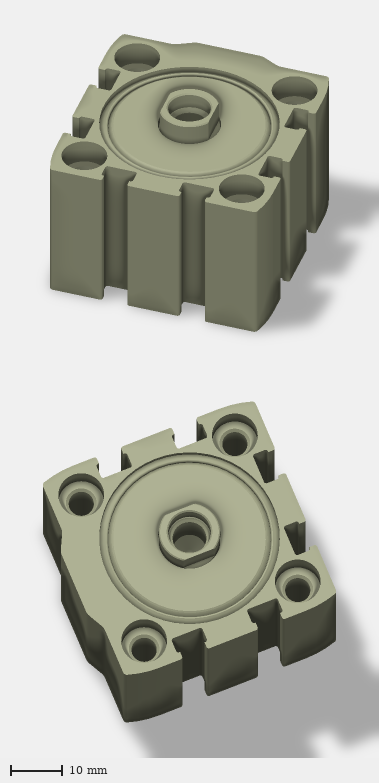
import cadquery as cq
import math

body_height = 30.0
overall_width = 45.0
overall_length = 47.0
half_width = overall_width / 2
half_length = 22.5
side_flat_half = 15.5
side_arc_radius = 20.7
corner_radius = 0.8

pad_rise = overall_length - 2 * half_length
pad_top_half = 6.85
pad_foot_half = 10.75
pad_blend_radius = 2.55

slot_offset = 8.0
slot_depth = 4.6
slot_mouth_width = 5.15
slot_inner_width = 6.5
lip_thickness = 1.5
slot_edge_radius = 0.45

screw_offset = 16.25
screw_head_diameter = 9.0
screw_head_depth = 5.0
screw_hole_diameter = 4.95
screw_countersink_diameter = 6.0

groove_outer_radius = 35.4 / 2
groove_outer_depth = 1.2
ridge_radius = 16.4
ridge_depth = 0.45
bore_radius = 32.0 / 2
gap_depth = 1.4
cap_cone_radius = 15.95
cap_cone_depth = 1.05
cap_edge_radius = 15.28
cap_edge_depth = 0.45
cap_radius = 14.95
cap_depth = 0.3

rod_diameter = 12.0
rod_projection = 4.0
rod_chamfer = 0.25
rod_bottom = 6.0
flats_width = 10.0
flats_below_cap = 0.3
flats_run_out_angle = math.radians(30)
rod_gap_diameter = 12.4
rod_gap_depth = 2.0

bore_mouth_diameter = 9.0
bore_relief_diameter = 8.4
bore_relief_depth = 3.35
thread_mouth_diameter = 8.0
thread_diameter = 6.65
thread_depth = 12.0
drill_half_angle = math.radians(59)

rod_top = body_height + rod_projection
rod_radius = rod_diameter / 2
cap_top = body_height - cap_depth
flats_bottom = cap_top - flats_below_cap


def housing_block():
    """Block with bowed sides, rounded corners and the raised pad."""
    mid_y = (half_length + side_flat_half) / 2
    mid_x = bowed_side_x(mid_y)
    corner_x = bowed_side_x(half_length)
    pad_y = half_length + pad_rise
    block = (
        cq.Workplane("XY")
        .moveTo(-corner_x, -half_length)
        .lineTo(corner_x, -half_length)
        .threePointArc((mid_x, -mid_y), (half_width, -side_flat_half))
        .lineTo(half_width, side_flat_half)
        .threePointArc((mid_x, mid_y), (corner_x, half_length))
        .lineTo(pad_foot_half, half_length)
        .lineTo(pad_top_half, pad_y)
        .lineTo(-pad_top_half, pad_y)
        .lineTo(-pad_foot_half, half_length)
        .lineTo(-corner_x, half_length)
        .threePointArc((-mid_x, mid_y), (-half_width, side_flat_half))
        .lineTo(-half_width, -side_flat_half)
        .threePointArc((-mid_x, -mid_y), (-corner_x, -half_length))
        .close()
        .extrude(body_height)
    )
    corners = [(x, y) for x in (-corner_x, corner_x) for y in (-half_length, half_length)]
    block = round_upright_edges(block, corners, corner_radius)
    pad_bends = []
    for side in (-1, 1):
        pad_bends += [(side * pad_foot_half, half_length), (side * pad_top_half, pad_y)]
    return round_upright_edges(block, pad_bends, pad_blend_radius)


def bowed_side_x(y):
    """X of the +X side where it bows inwards, at distance y from the middle."""
    arc_centre_x = half_width - side_arc_radius
    return arc_centre_x + math.sqrt(side_arc_radius**2 - (y - side_flat_half) ** 2)


def round_upright_edges(solid, places, radius):
    """Fillet the upright edges that stand at the given XY places."""
    edges = cq.Workplane("XY")
    for x, y in places:
        edges = edges.add(solid.edges(cq.NearestToPointSelector((x, y, body_height / 2))))
    return solid.newObject(edges.vals()).fillet(radius)


def slot_cutter():
    """Undercut slot along Z whose mouth lies on y = 0 and which deepens towards +Y."""
    pocket_depth = slot_depth - lip_thickness
    mouth = cq.Workplane("XY").box(slot_mouth_width, slot_depth, body_height, centered=(True, False, False))
    pocket = cq.Workplane("XY").box(slot_inner_width, pocket_depth, body_height, centered=(True, False, False))
    pocket = pocket.edges("|Z").fillet(slot_edge_radius)
    return mouth.union(pocket.translate((0, lip_thickness, 0)))


def cut_slots(body):
    """Cut a pair of slots into the -X, -Y and +X sides and round their mouths."""
    lip_edges = []
    for offset in (-slot_offset, slot_offset):
        slot = slot_cutter().translate((offset, 0, 0))
        front_slot = slot.translate((0, -half_length, 0))
        side_slot = slot.translate((0, -half_width, 0))
        body = body.cut(front_slot)
        body = body.cut(side_slot.rotate((0, 0, 0), (0, 0, 1), -90))
        body = body.cut(side_slot.rotate((0, 0, 0), (0, 0, 1), 90))
        for edge in (offset - slot_mouth_width / 2, offset + slot_mouth_width / 2):
            lip_edges += [(edge, -half_length), (-half_width, edge), (half_width, edge)]
    return round_upright_edges(body, lip_edges, slot_edge_radius)


def screw_hole_cutter():
    """Revolved cutter for a counterbored and countersunk through hole."""
    head_floor = body_height - screw_head_depth
    countersink_depth = (screw_countersink_diameter - screw_hole_diameter) / 2
    return (
        cq.Workplane("XZ")
        .moveTo(0, 0)
        .lineTo(screw_hole_diameter / 2, 0)
        .lineTo(screw_hole_diameter / 2, head_floor - countersink_depth)
        .lineTo(screw_countersink_diameter / 2, head_floor)
        .lineTo(screw_head_diameter / 2, head_floor)
        .lineTo(screw_head_diameter / 2, body_height)
        .lineTo(0, body_height)
        .close()
        .revolve()
    )


def cap_recess_cutter():
    """Revolved cutter that leaves the end cap with its ridge and grooves."""
    ridge_round = ridge_radius - bore_radius
    arc_shift = ridge_round * (1 - math.sqrt(0.5))
    ridge_arc_middle = (bore_radius + arc_shift, body_height - ridge_depth - arc_shift)
    return (
        cq.Workplane("XZ")
        .moveTo(0, body_height)
        .lineTo(groove_outer_radius, body_height)
        .lineTo(groove_outer_radius, body_height - groove_outer_depth)
        .lineTo(ridge_radius, body_height - ridge_depth)
        .threePointArc(ridge_arc_middle, (bore_radius, body_height - ridge_depth - ridge_round))
        .lineTo(bore_radius, body_height - gap_depth)
        .lineTo(cap_cone_radius, body_height - gap_depth)
        .lineTo(cap_cone_radius, body_height - cap_cone_depth)
        .lineTo(cap_edge_radius, body_height - cap_edge_depth)
        .lineTo(cap_radius, cap_top)
        .lineTo(0, cap_top)
        .close()
        .revolve()
    )


def build_housing():
    body = cut_slots(housing_block())
    for x in (-screw_offset, screw_offset):
        for y in (-screw_offset, screw_offset):
            body = body.cut(screw_hole_cutter().translate((x, y, 0)))
    body = body.cut(cap_recess_cutter())
    rod_guide = cq.Workplane("XY").workplane(offset=rod_bottom).circle(rod_radius).extrude(body_height)
    gap_floor = cap_top - rod_gap_depth
    rod_gap = cq.Workplane("XY").workplane(offset=gap_floor).circle(rod_gap_diameter / 2).extrude(body_height)
    return body.cut(rod_guide).cut(rod_gap)


def rod_bore_cutter():
    """Revolved cutter for the threaded bore with its relief and drill point."""
    mouth_radius = bore_mouth_diameter / 2
    relief_radius = bore_relief_diameter / 2
    thread_mouth_radius = thread_mouth_diameter / 2
    thread_radius = thread_diameter / 2
    mouth_floor = rod_top - (mouth_radius - relief_radius)
    relief_floor = rod_top - bore_relief_depth
    thread_start = relief_floor - (thread_mouth_radius - thread_radius)
    thread_end = rod_top - thread_depth
    drill_tip = thread_end - thread_radius / math.tan(drill_half_angle)
    return (
        cq.Workplane("XZ")
        .moveTo(0, rod_top)
        .lineTo(mouth_radius, rod_top)
        .lineTo(relief_radius, mouth_floor)
        .lineTo(relief_radius, relief_floor)
        .lineTo(thread_mouth_radius, relief_floor)
        .lineTo(thread_radius, thread_start)
        .lineTo(thread_radius, thread_end)
        .lineTo(0, drill_tip)
        .close()
        .revolve()
    )


def flat_cutter():
    """Wedge-ended cutter for the +X wrench flat, with a sloping run-out."""
    flat_x = flats_width / 2
    run_out = (rod_radius - flat_x) * math.tan(flats_run_out_angle)
    return (
        cq.Workplane("XZ")
        .moveTo(flat_x, rod_top)
        .lineTo(flat_x, flats_bottom)
        .lineTo(rod_radius, flats_bottom - run_out)
        .lineTo(rod_radius, rod_top)
        .close()
        .extrude(rod_radius, both=True)
    )


def build_rod():
    rod = cq.Workplane("XY").workplane(offset=rod_bottom).circle(rod_radius).extrude(rod_top - rod_bottom)
    rod = rod.faces(">Z").chamfer(rod_chamfer)
    rod = rod.cut(flat_cutter()).cut(flat_cutter().mirror("YZ"))
    return rod.cut(rod_bore_cutter())


housing = build_housing()
piston_rod = build_rod()
result = cq.Compound.makeCompound([housing.val(), piston_rod.val()])